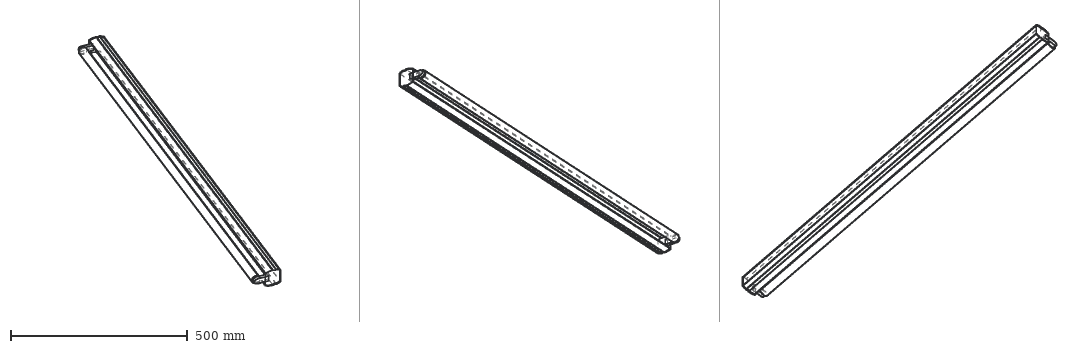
import cadquery as cq
import math

length = 1222.0
height = 53.17
overall_depth = 84.0

rail_depth = 47.0
back_y = overall_depth / 2
front_y = back_y - rail_depth
crest_y = 17.4
crest_z = height / 2
front_crown_radius = 50.0
back_corner_z = 20.0
back_crown_radius = 42.0
groove_front_y = 18.6
groove_back_y = 28.5
groove_back_z = 26.0
groove_radius = 8.0

wall = 1.6
cap_thickness = 2.0

bar_radius = 12.8
bar_y = -overall_depth / 2 + bar_radius
bar_end_inset = 12.0
bracket_end_inset = cap_thickness
bracket_half_height = 8.5
bracket_overlap = 11.0
bracket_root_y = front_y + bracket_overlap


def front_crown_z(y):
    """Height of the front part of the crown, an arc that is level at the crest."""
    return crest_z - front_crown_radius + math.sqrt(front_crown_radius**2 - (y - crest_y) ** 2)


front_corner_z = front_crown_z(front_y)


def rail_section():
    """Closed outline of the rail's outer section at the -X end."""
    return (
        cq.Workplane("YZ", origin=(-length / 2, 0, 0))
        .moveTo(front_y, -front_corner_z)
        .lineTo(front_y, front_corner_z)
        .radiusArc((crest_y, crest_z), front_crown_radius)
        .lineTo(groove_front_y, crest_z)
        .radiusArc((groove_back_y, groove_back_z), -groove_radius)
        .radiusArc((back_y, back_corner_z), back_crown_radius)
        .lineTo(back_y, -back_corner_z)
        .radiusArc((groove_back_y, -groove_back_z), back_crown_radius)
        .radiusArc((groove_front_y, -crest_z), -groove_radius)
        .lineTo(crest_y, -crest_z)
        .radiusArc((front_y, -front_corner_z), front_crown_radius)
        .close()
    )


def make_rail():
    """Hollow rail, open along its front, with a plate closing each end."""
    inside_length = length - 2 * cap_thickness
    rail = rail_section().extrude(length)
    inside = rail_section().offset2D(-wall).extrude(inside_length)
    inside = inside.translate((cap_thickness, 0, 0))
    mouth_depth = 2 * wall
    mouth_height = 2 * (front_corner_z - wall)
    mouth = (
        cq.Workplane("XZ", origin=(0, front_y + mouth_depth, 0))
        .rect(inside_length, mouth_height)
        .extrude(mouth_depth)
    )
    return rail.cut(inside).cut(mouth)


def make_bracket():
    """Flat arm with a rounded front end, at the -X end."""
    return (
        cq.Workplane("YZ", origin=(-length / 2 + bracket_end_inset, 0, 0))
        .moveTo(bracket_root_y, -bracket_half_height)
        .lineTo(bracket_root_y, bracket_half_height)
        .lineTo(bar_y, bracket_half_height)
        .threePointArc((bar_y - bracket_half_height, 0), (bar_y, -bracket_half_height))
        .close()
        .extrude(bar_end_inset - bracket_end_inset)
    )


def make_bar():
    """Round bar running between the two brackets."""
    return (
        cq.Workplane("YZ", origin=(-length / 2 + bar_end_inset, bar_y, 0))
        .circle(bar_radius)
        .extrude(length - 2 * bar_end_inset)
    )


bracket = make_bracket()
result = make_rail().union(bracket).union(bracket.mirror("YZ")).union(make_bar())